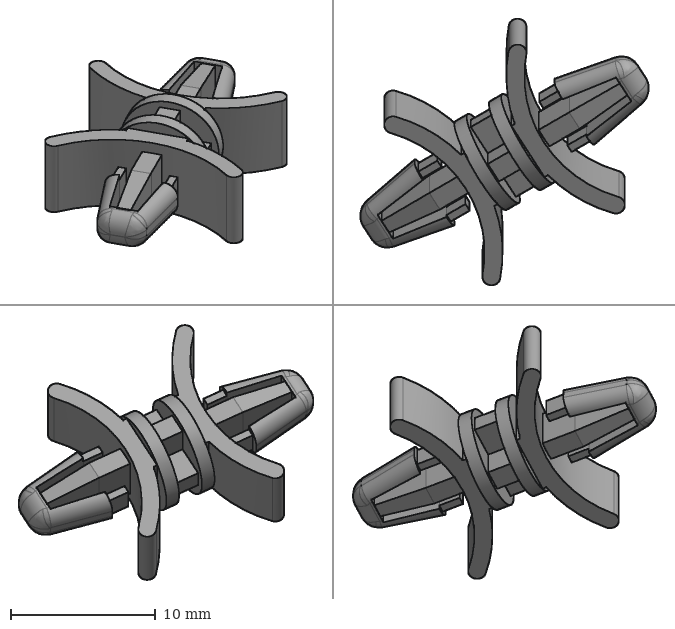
import cadquery as cq
import math


CORE_HALF_LENGTH = 0.9
CROSS_SPAN = 6.0
CROSS_BAR_THICKNESS = 1.5
DISC_DIAMETER = 7.1
DISC_THICKNESS = 1.0
DISC_OUTER_Y = CORE_HALF_LENGTH + DISC_THICKNESS

WING_SPAN = 14.3
WING_HEIGHT = 5.45
WING_THICKNESS = 1.25
WING_INNER_Y = 3.19
WING_TIP_Y = 5.67
WING_MIDDLE_Y = WING_INNER_Y - WING_THICKNESS / 2
NECK_WIDTH = 4.4

OVERALL_LENGTH = 22.31
ANCHOR_TIP_Y = OVERALL_LENGTH / 2
LEG_BASE_Y = WING_TIP_Y
LEG_BASE_HALF_WIDTH = 2.65
LEG_TAPER = math.radians(11)
ANCHOR_HEIGHT = 2.6
ANCHOR_CORNER_RADIUS = 1.0
NOSE_FLAT = 0.02
NOSE_RADIUS = (ANCHOR_HEIGHT - NOSE_FLAT) / 2
SLOT_END_Y = 9.66
SLOT_BASE_HALF_WIDTH = 1.58
SLOT_END_HALF_WIDTH = 1.02
FOOT_END_Y = 4.13
FOOT_THICKNESS = 0.57
FOOT_HEIGHT = 1.8

POST_WIDTH = 1.42
POST_HEIGHT = 3.76
POST_END_WIDTH = 1.0
POST_END_HEIGHT = 2.5


def block(width, y_start, y_end, height):
    """Box centred on X and Z that runs from y_start to y_end."""
    length = y_end - y_start
    return cq.Workplane("XY").box(width, length, height).translate((0, y_start + length / 2, 0))


def section_plane(y):
    """Plane at distance y whose normal points along +Y."""
    return cq.Workplane(cq.Plane(origin=(0, y, 0), xDir=(1, 0, 0), normal=(0, 1, 0)))


def cross_core():
    flat_bar = block(CROSS_SPAN, -CORE_HALF_LENGTH, CORE_HALF_LENGTH, CROSS_BAR_THICKNESS)
    upright_bar = block(CROSS_BAR_THICKNESS, -CORE_HALF_LENGTH, CORE_HALF_LENGTH, CROSS_SPAN)
    return flat_bar.union(upright_bar)


def disc():
    return section_plane(CORE_HALF_LENGTH).circle(DISC_DIAMETER / 2).extrude(DISC_THICKNESS)


def wing():
    half_thickness = WING_THICKNESS / 2
    half_chord = WING_SPAN / 2 - half_thickness
    low_y = WING_MIDDLE_Y
    rise = WING_TIP_Y - half_thickness - low_y
    radius = (half_chord**2 + rise**2) / (2 * rise)
    center_y = low_y + radius
    end_angle = math.asin(half_chord / radius)

    def arc_point(offset, angle):
        reach = radius + offset
        return (reach * math.sin(angle), center_y - reach * math.cos(angle))

    def end_cap_point(side):
        along = half_thickness * math.cos(end_angle)
        up = half_thickness * math.sin(end_angle)
        return (side * (half_chord + along), low_y + rise + up)

    return (
        cq.Workplane("XY", origin=(0, 0, -WING_HEIGHT / 2))
        .moveTo(*arc_point(half_thickness, -end_angle))
        .threePointArc(arc_point(half_thickness, 0), arc_point(half_thickness, end_angle))
        .threePointArc(end_cap_point(1), arc_point(-half_thickness, end_angle))
        .threePointArc(arc_point(-half_thickness, 0), arc_point(-half_thickness, -end_angle))
        .threePointArc(end_cap_point(-1), arc_point(half_thickness, -end_angle))
        .close()
        .extrude(WING_HEIGHT)
    )


def neck():
    """Pad that joins the disc to the back of the wing."""
    return block(NECK_WIDTH, DISC_OUTER_Y, WING_MIDDLE_Y, WING_HEIGHT)


def post():
    straight = block(POST_WIDTH, WING_MIDDLE_Y, LEG_BASE_Y, POST_HEIGHT)
    tapered = (
        section_plane(LEG_BASE_Y)
        .rect(POST_WIDTH, POST_HEIGHT)
        .workplane(offset=SLOT_END_Y - LEG_BASE_Y)
        .rect(POST_END_WIDTH, POST_END_HEIGHT)
        .loft(ruled=True)
    )
    return straight.union(tapered)


def trapezoid(base_half_width, end_half_width, end_y, height):
    """Prism along Z that narrows from the leg base to end_y."""
    return (
        cq.Workplane("XY", origin=(0, 0, -height / 2))
        .moveTo(-base_half_width, LEG_BASE_Y)
        .lineTo(base_half_width, LEG_BASE_Y)
        .lineTo(end_half_width, end_y)
        .lineTo(-end_half_width, end_y)
        .close()
        .extrude(height)
    )


def legs():
    length = ANCHOR_TIP_Y - LEG_BASE_Y
    tip_half_width = LEG_BASE_HALF_WIDTH - length * math.tan(LEG_TAPER)
    body = trapezoid(LEG_BASE_HALF_WIDTH, tip_half_width, ANCHOR_TIP_Y, ANCHOR_HEIGHT)
    body = body.faces(">Y").edges().fillet(NOSE_RADIUS)
    side_edges = body.faces("<X or >X").edges("<Z or >Z")
    body = side_edges.fillet(ANCHOR_CORNER_RADIUS)
    slot = trapezoid(SLOT_BASE_HALF_WIDTH, SLOT_END_HALF_WIDTH, SLOT_END_Y, ANCHOR_HEIGHT)
    return body.cut(slot)


def feet():
    center_x = SLOT_BASE_HALF_WIDTH + FOOT_THICKNESS / 2
    foot = block(FOOT_THICKNESS, FOOT_END_Y, LEG_BASE_Y, FOOT_HEIGHT)
    return foot.translate((center_x, 0, 0)).union(foot.translate((-center_x, 0, 0)))


clip = disc().union(neck()).union(wing()).union(post()).union(legs()).union(feet())
result = cross_core().union(clip).union(clip.mirror("XZ"))